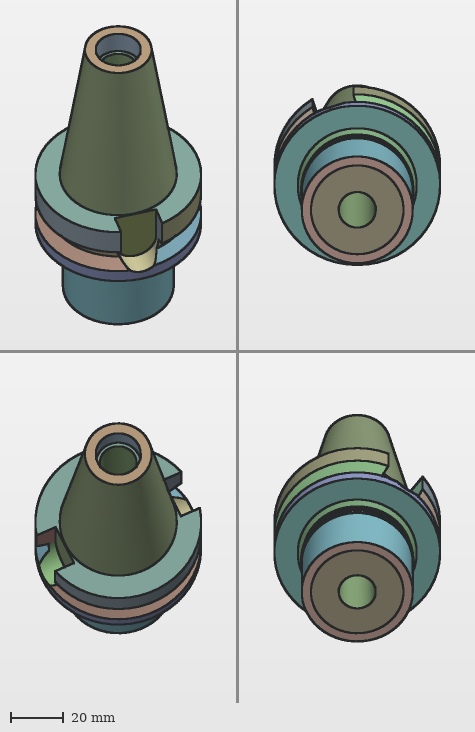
import cadquery as cq

total_length = 125.4
ring_bottom = 24.8
ring_top = 27.0
pilot_bottom = 30.0
pilot_top = 31.2
flange_bottom = 33.2
lower_rim_top = 38.5
groove_bottom = 41.5
groove_top = 45.6
upper_rim_bottom = 48.5
flange_top = 59.2
taper_bottom = 60.0

flange_radius = 31.5
groove_radius = 26.6
taper_top_radius = 12.7
taper_slope = 7 / 48
taper_base_radius = taper_top_radius + taper_slope * (total_length - taper_bottom)
cone_radius = 22.6
pilot_radius = 20.7
neck_radius = 17.5
ring_radius = 21.3
sleeve_radius = 21.1
ring_chamfer = ring_radius - sleeve_radius

bore_radius = 7.0
counterbore_radius = 8.5
counterbore_depth = 9.2
slot_half_width = 8.2
slot_floor_distance = 22.5
slot_bottom = 37.0
slot_arc_center = slot_bottom + slot_half_width


def make_holder_blank():
    """Turned blank: neck, V-groove flange and steep taper."""
    return (
        cq.Workplane("XZ")
        .polyline([
            (0, 0),
            (neck_radius, 0),
            (neck_radius, pilot_bottom),
            (pilot_radius, pilot_bottom),
            (pilot_radius, pilot_top),
            (cone_radius, flange_bottom),
            (flange_radius, flange_bottom),
            (flange_radius, lower_rim_top),
            (groove_radius, groove_bottom),
            (groove_radius, groove_top),
            (flange_radius, upper_rim_bottom),
            (flange_radius, flange_top),
            (taper_base_radius, flange_top),
            (taper_base_radius, taper_bottom),
            (taper_top_radius, total_length),
            (0, total_length),
        ])
        .close()
        .revolve(360, (0, 0), (0, 1))
    )


def make_drive_slot(side):
    """Round-bottomed slot cutter outside the slot floor; side is -1 or 1 along X."""
    return (
        cq.Workplane("YZ", origin=(side * slot_floor_distance, 0, 0))
        .moveTo(-slot_half_width, flange_top)
        .lineTo(-slot_half_width, slot_arc_center)
        .threePointArc((0, slot_bottom), (slot_half_width, slot_arc_center))
        .lineTo(slot_half_width, flange_top)
        .close()
        .extrude(side * flange_radius)
    )


def make_holder():
    """Tool holder with its stepped through bore and two drive slots."""
    body = make_holder_blank()
    for side in (-1, 1):
        body = body.cut(make_drive_slot(side))
    return body.faces(">Z").workplane().cboreHole(
        2 * bore_radius, 2 * counterbore_radius, counterbore_depth
    )


def make_collar(radius, bottom, top):
    """Plain collar fitting around the holder neck."""
    return (
        cq.Workplane("XY", origin=(0, 0, bottom))
        .circle(radius)
        .circle(neck_radius)
        .extrude(top - bottom)
    )


def make_ring():
    """Retaining ring, chamfered down to the sleeve diameter."""
    ring = make_collar(ring_radius, ring_bottom, ring_top)
    outer_edge = cq.selectors.RadiusNthSelector(-1)
    return ring.faces("<Z").edges(outer_edge).chamfer(ring_chamfer)


holder = make_holder()
ring = make_ring()
sleeve = make_collar(sleeve_radius, 0, ring_bottom)

result = cq.Compound.makeCompound([holder.val(), ring.val(), sleeve.val()])